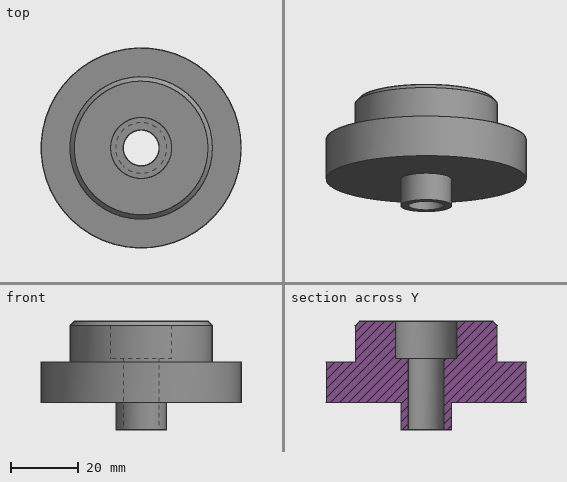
import cadquery as cq

stem_diameter = 15.0
stem_height = 8.0
flange_diameter = 59.0
flange_height = 12.0
boss_diameter = 42.0
boss_height = 12.0
boss_chamfer = 1.3

through_hole_diameter = 10.5
counterbore_diameter = 18.0
counterbore_depth = 11.0

total_height = stem_height + flange_height + boss_height


def stepped_body():
    """Stem, flange and boss stacked on one axis, with the boss rim chamfered."""
    body = cq.Workplane("XY").circle(stem_diameter / 2).extrude(stem_height)
    body = body.faces(">Z").workplane().circle(flange_diameter / 2).extrude(flange_height)
    body = body.faces(">Z").workplane().circle(boss_diameter / 2).extrude(boss_height)
    return body.faces(">Z").edges().chamfer(boss_chamfer)


def stepped_bore():
    """Through hole joined with the counterbore that opens at the top face."""
    through_hole = cq.Workplane("XY").circle(through_hole_diameter / 2).extrude(total_height)
    counterbore = (
        cq.Workplane("XY")
        .workplane(offset=total_height)
        .circle(counterbore_diameter / 2)
        .extrude(-counterbore_depth)
    )
    return through_hole.union(counterbore)


result = stepped_body().cut(stepped_bore())